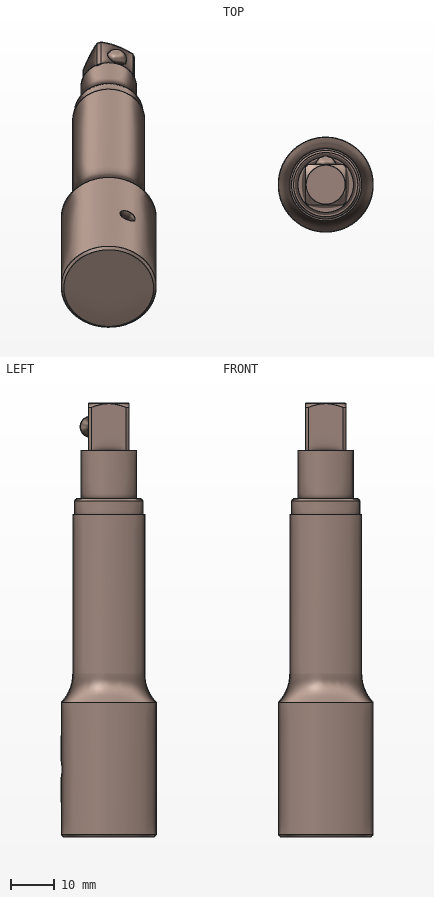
import cadquery as cq
import math

total_height = 100.3

base_radius = 10.98
base_height = 31.1
base_chamfer = 0.6
neck_radius = 8.3
flare_height = 6.6
neck_top = 74.5

spindle_radius = 6.4
collar_radius = 7.9
collar_height = 3.7
collar_chamfer = 0.5

square_side = 9.4
square_height = 10.9
square_corner_chamfer = 0.7
square_bottom = total_height - square_height
tip_radius = 4.5
tip_cone_angle = 30.0

ball_radius = 2.4
ball_projection = 1.9
ball_y = square_side / 2 + ball_projection - ball_radius
ball_z = square_bottom + square_height / 2

side_hole_radius = 1.9
side_hole_depth = 3.0
side_hole_z = 15.6


def make_turned_body():
    """Base, concave flare, neck and spindle, revolved about Z."""
    flare_step = base_radius - neck_radius
    flare_radius = (flare_height**2 + flare_step**2) / (2 * flare_step)
    flare_top = base_height + flare_height
    half_sweep = math.asin(flare_height / flare_radius) / 2
    flare_middle = (
        neck_radius + flare_radius * (1 - math.cos(half_sweep)),
        flare_top - flare_radius * math.sin(half_sweep),
    )
    return (
        cq.Workplane("XZ")
        .lineTo(base_radius - base_chamfer, 0)
        .lineTo(base_radius, base_chamfer)
        .lineTo(base_radius, base_height)
        .threePointArc(flare_middle, (neck_radius, flare_top))
        .lineTo(neck_radius, neck_top)
        .lineTo(spindle_radius, neck_top)
        .lineTo(spindle_radius, square_bottom)
        .lineTo(0, square_bottom)
        .close()
        .revolve(360, (0, 0, 0), (0, 1, 0))
    )


def make_square_drive():
    """Square prism with chamfered corners and a conical tip."""
    square = (
        cq.Workplane("XY", origin=(0, 0, square_bottom))
        .rect(square_side, square_side)
        .extrude(square_height)
        .edges("|Z")
        .chamfer(square_corner_chamfer)
    )
    envelope_radius = square_side
    cone_drop = (envelope_radius - tip_radius) * math.tan(math.radians(tip_cone_angle))
    tip_envelope = (
        cq.Workplane("XZ", origin=(0, 0, square_bottom))
        .lineTo(envelope_radius, 0)
        .lineTo(envelope_radius, square_height - cone_drop)
        .lineTo(tip_radius, square_height)
        .lineTo(0, square_height)
        .close()
        .revolve(360, (0, 0, 0), (0, 1, 0))
    )
    return square.intersect(tip_envelope)


def make_side_hole():
    """Cutter for the radial blind hole in the base."""
    return (
        cq.Workplane("XZ", origin=(0, base_radius, side_hole_z))
        .circle(side_hole_radius)
        .extrude(side_hole_depth)
    )


def make_ball():
    return cq.Workplane("XY").sphere(ball_radius).translate((0, ball_y, ball_z))


def make_bar():
    """Bar with its square drive, side hole and seat for the ball."""
    bar = make_turned_body().union(make_square_drive())
    return bar.cut(make_side_hole()).cut(make_ball())


def make_collar():
    """Ring around the spindle, resting on the end of the neck."""
    return (
        cq.Workplane("XY", origin=(0, 0, neck_top))
        .circle(collar_radius)
        .extrude(collar_height)
        .faces(">Z")
        .chamfer(collar_chamfer)
        .cut(
            cq.Workplane("XY", origin=(0, 0, neck_top))
            .circle(spindle_radius)
            .extrude(collar_height)
        )
    )


bar = make_bar()
collar = make_collar()
ball = make_ball()

result = cq.Compound.makeCompound([bar.solids().val(), collar.solids().val(), ball.solids().val()])